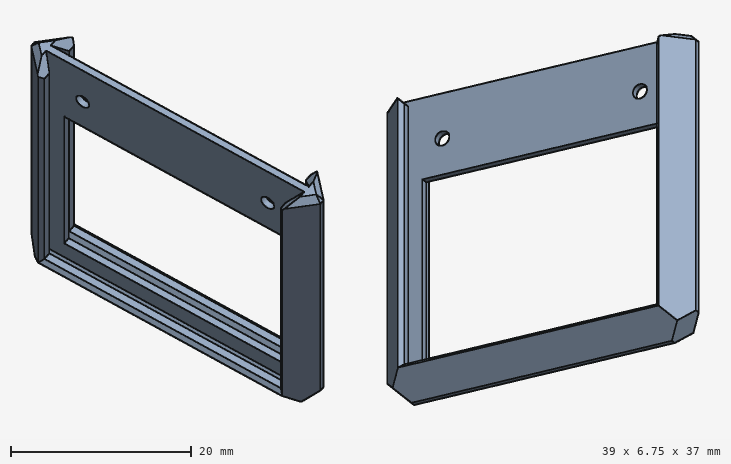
import cadquery as cq

WIDTH = 39.0
DEPTH = 6.75
HEIGHT = 37.0
HALF_WIDTH = WIDTH / 2
HALF_DEPTH = DEPTH / 2

EDGE_FLAT = 0.65
WEB_THICKNESS = 0.9
WING_REACH = 3.55
WING_FACE_START = 1.9
RIDGE = HALF_DEPTH - EDGE_FLAT / 2
GROOVE_ROOT = WING_REACH - (WING_FACE_START - WEB_THICKNESS / 2)

WINDOW_BORDER = 4.52
WINDOW_TOP_BORDER = 10.0
HOLE_DIAMETER = 1.75
HOLE_INSET = 7.02
HOLE_DROP = 5.55

TOP_CHAMFER = 0.78


def make_rails():
    """U-shaped rail with mitred lower corners."""
    half_section = [
        (0, EDGE_FLAT / 2),
        (RIDGE, HALF_DEPTH),
        (WING_REACH, HALF_DEPTH - (WING_REACH - RIDGE)),
        (WING_REACH, WING_FACE_START),
        (GROOVE_ROOT, WEB_THICKNESS / 2),
    ]
    section = half_section + [(inset, -y) for inset, y in reversed(half_section)]
    section = [(inset - HALF_WIDTH, y) for inset, y in section]
    path = cq.Workplane("XZ").polyline([
        (-HALF_WIDTH, HEIGHT),
        (-HALF_WIDTH, 0),
        (HALF_WIDTH, 0),
        (HALF_WIDTH, HEIGHT),
    ])
    profile = cq.Workplane("XY", origin=(0, 0, HEIGHT)).polyline(section).close()
    return profile.sweep(path, transition="right")


def slope_wing_ends(rails):
    """Cut the wing ends at 45 degrees, falling toward the middle of the frame."""
    run = HALF_WIDTH - GROOVE_ROOT
    cutter = (
        cq.Workplane("XZ")
        .polyline([(-run, HEIGHT), (run, HEIGHT), (0, HEIGHT - run)])
        .close()
        .extrude(HALF_DEPTH, both=True)
    )
    return rails.cut(cutter)


def make_web():
    """Flat panel with its window and two mounting holes."""
    web_width = WIDTH - 2 * GROOVE_ROOT
    web_height = HEIGHT - GROOVE_ROOT
    web = (
        cq.Workplane("XY")
        .box(web_width, WEB_THICKNESS, web_height)
        .translate((0, 0, GROOVE_ROOT + web_height / 2))
    )
    window_height = HEIGHT - WINDOW_BORDER - WINDOW_TOP_BORDER
    window = (
        cq.Workplane("XY")
        .box(WIDTH - 2 * WINDOW_BORDER, WEB_THICKNESS, window_height)
        .translate((0, 0, WINDOW_BORDER + window_height / 2))
    )
    hole_x = HALF_WIDTH - HOLE_INSET
    holes = (
        cq.Workplane("XZ")
        .pushPoints([(x, HEIGHT - HOLE_DROP) for x in (-hole_x, hole_x)])
        .circle(HOLE_DIAMETER / 2)
        .extrude(WEB_THICKNESS, both=True)
    )
    return web.cut(window).cut(holes)


def make_top_envelope():
    """Prism along the outer rail slopes, chamfered around its top."""
    peak = HALF_WIDTH + EDGE_FLAT / 2
    return (
        cq.Workplane("XY")
        .polyline([
            (-HALF_WIDTH, EDGE_FLAT / 2),
            (0, peak),
            (HALF_WIDTH, EDGE_FLAT / 2),
            (HALF_WIDTH, -EDGE_FLAT / 2),
            (0, -peak),
            (-HALF_WIDTH, -EDGE_FLAT / 2),
        ])
        .close()
        .extrude(HEIGHT)
        .faces(">Z")
        .chamfer(TOP_CHAMFER)
    )


def make_corner_envelope():
    """Front outline with both lower corners cut at 45 degrees."""
    return (
        cq.Workplane("XY")
        .box(WIDTH, DEPTH, HEIGHT)
        .translate((0, 0, HEIGHT / 2))
        .edges("|Y and <Z")
        .chamfer(RIDGE)
    )


frame = slope_wing_ends(make_rails()).union(make_web())
result = frame.intersect(make_top_envelope()).intersect(make_corner_envelope())